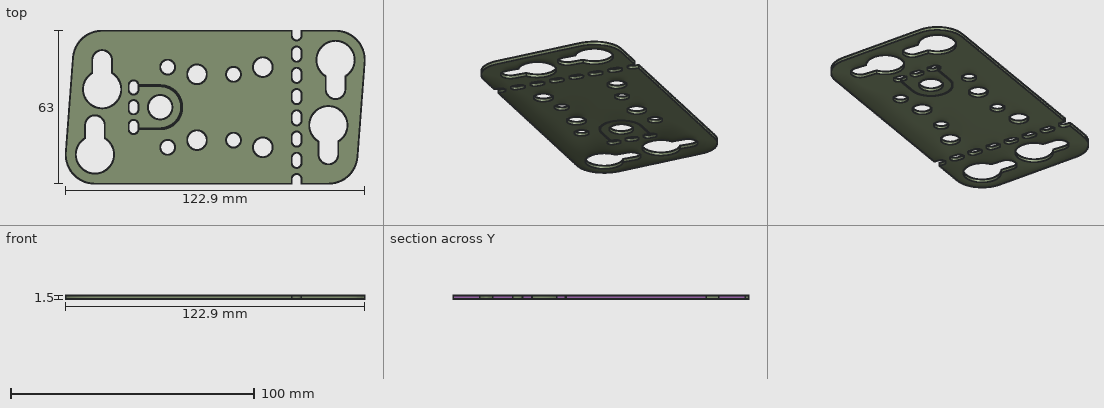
import cadquery as cq
import math

length = 122.9
width = 63.0
thickness = 1.5
corner_radius = 12.0
side_lean = 3.0
far_corner_x = length / 2 - corner_radius
near_corner_x = far_corner_x - side_lean
corner_y = width / 2 - corner_radius

keyhole_diameter = 15.6
keyhole_slot_width = 8.0
keyhole_slot_reach = 12.0

small_diameter = 6.0
medium_diameter = 8.0
inner_row_y = 13.5
outer_row_y = 16.5
near_hole_x = 7.5
far_hole_x = 19.5

perforation_width = 3.9
break_line_x = 33.4
break_slot_length = 6.1
break_slot_pitch = 8.7
break_slot_count = 8

tab_x = -22.6
tab_hole_diameter = 10.0
tab_radius = 8.9
slit_width = 0.4
hinge_x = -33.5
hinge_slot_length = 5.8
hinge_slot_pitch = 8.1
hinge_slot_count = 3


def half_turn(shape):
    return shape.rotate((0, 0, 0), (0, 0, 1), 180)


def make_plate():
    lean = math.atan2(side_lean, 2 * corner_y)
    touch_x = corner_radius * math.cos(lean)
    touch_y = corner_radius * math.sin(lean)

    upper_left_mid = math.radians(135) - lean / 2
    lower_left_mid = math.radians(225) - lean / 2

    def on_corner(center_x, center_y, angle):
        return (
            center_x + corner_radius * math.cos(angle),
            center_y + corner_radius * math.sin(angle),
        )

    upper_left_arc = on_corner(-near_corner_x, corner_y, upper_left_mid)
    lower_left_arc = on_corner(-far_corner_x, -corner_y, lower_left_mid)
    lower_right_arc = on_corner(near_corner_x, -corner_y, upper_left_mid + math.pi)
    upper_right_arc = on_corner(far_corner_x, corner_y, lower_left_mid + math.pi)
    return (
        cq.Workplane("XY")
        .moveTo(far_corner_x, width / 2)
        .lineTo(-near_corner_x, width / 2)
        .threePointArc(upper_left_arc, (-near_corner_x - touch_x, corner_y + touch_y))
        .lineTo(-far_corner_x - touch_x, -corner_y + touch_y)
        .threePointArc(lower_left_arc, (-far_corner_x, -width / 2))
        .lineTo(near_corner_x, -width / 2)
        .threePointArc(lower_right_arc, (near_corner_x + touch_x, -corner_y - touch_y))
        .lineTo(far_corner_x + touch_x, corner_y - touch_y)
        .threePointArc(upper_right_arc, (far_corner_x, width / 2))
        .close()
        .extrude(thickness)
    )


def keyhole(x, head_y):
    head = cq.Workplane("XY").center(x, head_y).circle(keyhole_diameter / 2).extrude(thickness)
    slot = (
        cq.Workplane("XY")
        .center(x, head_y + keyhole_slot_reach / 2)
        .slot2D(keyhole_slot_reach + keyhole_slot_width, keyhole_slot_width, 90)
        .extrude(thickness)
    )
    return head.union(slot)


def round_holes(points, diameter):
    return cq.Workplane("XY").pushPoints(points).circle(diameter / 2).extrude(thickness)


def slot_row(x, count, pitch, slot_length):
    return (
        cq.Workplane("XY")
        .center(x, 0)
        .rarray(1.2, pitch, 1, count)
        .slot2D(slot_length, perforation_width, 90)
        .extrude(thickness)
    )


def tab_outline(radius):
    return (
        cq.Workplane("XY")
        .moveTo(hinge_x, radius)
        .lineTo(tab_x, radius)
        .threePointArc((tab_x + radius, 0), (tab_x, -radius))
        .lineTo(hinge_x, -radius)
        .close()
        .extrude(thickness)
    )


result = make_plate()

left_keyholes = [
    (-far_corner_x, -corner_y),
    (-near_corner_x, corner_y - keyhole_slot_reach),
]
for keyhole_x, head_y in left_keyholes:
    cutter = keyhole(keyhole_x, head_y)
    result = result.cut(cutter).cut(half_turn(cutter))

for side in (1, -1):
    small_points = [(-far_hole_x, side * outer_row_y), (near_hole_x, side * inner_row_y)]
    medium_points = [(-near_hole_x, side * inner_row_y), (far_hole_x, side * outer_row_y)]
    result = result.cut(round_holes(small_points, small_diameter))
    result = result.cut(round_holes(medium_points, medium_diameter))

result = result.cut(slot_row(break_line_x, break_slot_count, break_slot_pitch, break_slot_length))

result = result.cut(slot_row(hinge_x, hinge_slot_count, hinge_slot_pitch, hinge_slot_length))
slit = tab_outline(tab_radius + slit_width / 2).cut(tab_outline(tab_radius - slit_width / 2))
result = result.cut(slit)
result = result.cut(round_holes([(tab_x, 0)], tab_hole_diameter))